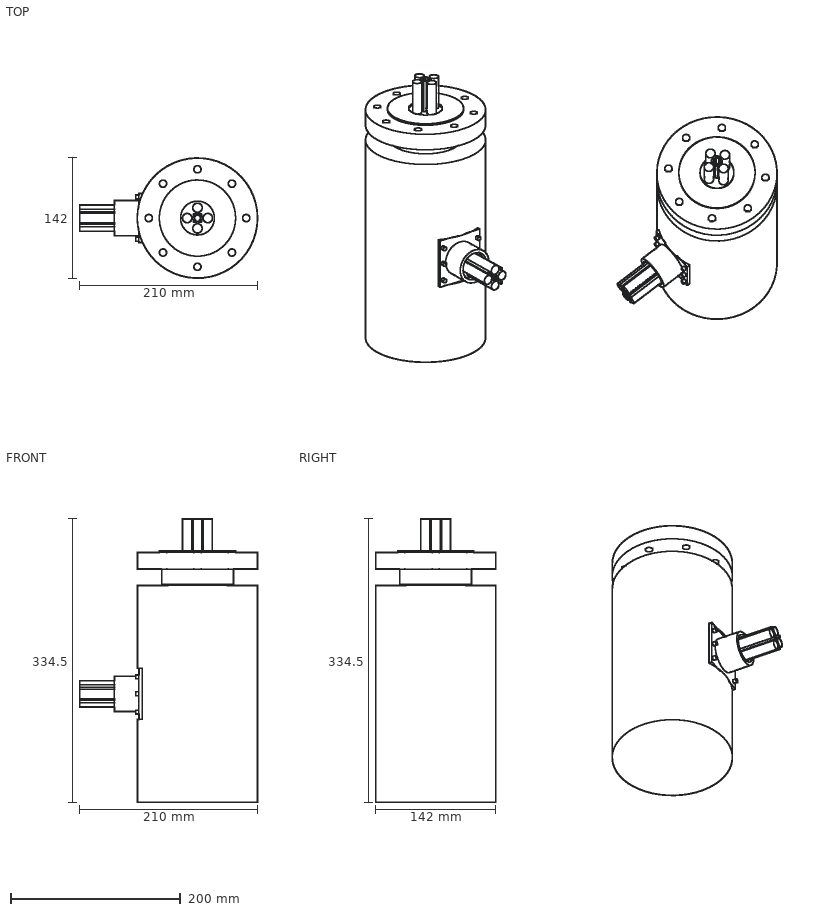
import cadquery as cq

BODY_RADIUS = 71.0
BODY_HEIGHT = 256.0
RELIEF_RADIUS = 35.0
RELIEF_HEIGHT = 1.0
NECK_RADIUS = 42.5
FLANGE_BOTTOM = 275.0
FLANGE_TOP = 295.0
DISC_RADIUS = 45.0
DISC_THICKNESS = 2.0
CABLE_TOP = 334.5
RECESS_RADIUS = 20.0

FLANGE_HOLE_COUNT = 8
FLANGE_HOLE_DIAMETER = 8.5
FLANGE_HOLE_CIRCLE_RADIUS = 57.5

CONNECTOR_Z = 128.0
CABLE_END_X = -139.0
SLEEVE_END_X = -98.0
SLEEVE_RADIUS = 21.0
SLEEVE_BORE_RADIUS = 17.0
SLEEVE_BORE_DEPTH = 8.0
PLATE_FACE_X = -69.0
PLATE_THICKNESS = 4.0
PLATE_WIDTH = 58.0
PLATE_HEIGHT = 60.0
PLATE_SEAT_X = PLATE_FACE_X + PLATE_THICKNESS

SCREW_DIAMETER = 4.8
SCREW_HEAD_HEIGHT = 4.0
SCREW_Y = 25.0
SCREW_ROWS = (20.0, 0.0, -21.5)

POWER_CABLE_COUNT = 4
CABLE_DIAMETER = 11.0
TOP_CABLE_CIRCLE_RADIUS = 12.2
TOP_WIRE_COUNT = 8
TOP_WIRE_CIRCLE_RADIUS = 5.0
TOP_WIRE_DIAMETER = 3.0
SIDE_CABLE_CIRCLE_RADIUS = 10.2
SIDE_WIRE_COUNT = 5
SIDE_WIRE_CIRCLE_RADIUS = 3.0
SIDE_WIRE_DIAMETER = 3.0
PIN_DIAMETER = 3.0
PIN_OFFSET = 9.0

FULL_TURN = 360.0


def upright_cylinder(radius, bottom, top):
    """Solid cylinder on the main axis between two heights."""
    return cq.Workplane("XY").workplane(offset=bottom).circle(radius).extrude(top - bottom)


def side_plane(x):
    """Workplane facing -X on the connector axis; its local x is -Y and its local y is Z."""
    return cq.Workplane(cq.Plane(origin=(x, 0, CONNECTOR_Z), xDir=(0, -1, 0), normal=(-1, 0, 0)))


def rod_ring(plane, count, circle_radius, diameter, length):
    """Parallel rods evenly spaced on a circle about the plane's origin."""
    return plane.polarArray(circle_radius, 0, FULL_TURN, count).circle(diameter / 2).extrude(length)


def make_housing():
    """Body, relief groove, neck, drilled flange and the raised disc with its shallow recess."""
    neck_bottom = BODY_HEIGHT + RELIEF_HEIGHT
    disc_top = FLANGE_TOP + DISC_THICKNESS
    housing = upright_cylinder(BODY_RADIUS, 0, BODY_HEIGHT)
    housing = housing.union(upright_cylinder(RELIEF_RADIUS, BODY_HEIGHT, neck_bottom))
    housing = housing.union(upright_cylinder(NECK_RADIUS, neck_bottom, FLANGE_BOTTOM))
    housing = housing.union(upright_cylinder(BODY_RADIUS, FLANGE_BOTTOM, FLANGE_TOP))
    housing = housing.union(upright_cylinder(DISC_RADIUS, FLANGE_TOP, disc_top))
    recess = upright_cylinder(RECESS_RADIUS, FLANGE_TOP, disc_top)
    holes = rod_ring(
        cq.Workplane("XY").workplane(offset=FLANGE_BOTTOM),
        FLANGE_HOLE_COUNT,
        FLANGE_HOLE_CIRCLE_RADIUS,
        FLANGE_HOLE_DIAMETER,
        FLANGE_TOP - FLANGE_BOTTOM,
    )
    return housing.cut(recess).cut(holes)


def add_top_cables(part):
    """Cables and thin wires rising from the recess floor."""
    floor = cq.Workplane("XY").workplane(offset=FLANGE_TOP)
    length = CABLE_TOP - FLANGE_TOP
    part = part.union(rod_ring(floor, POWER_CABLE_COUNT, TOP_CABLE_CIRCLE_RADIUS, CABLE_DIAMETER, length))
    return part.union(rod_ring(floor, TOP_WIRE_COUNT, TOP_WIRE_CIRCLE_RADIUS, TOP_WIRE_DIAMETER, length))


def add_mounting_plate(part):
    """Flat seat milled across the body, with the plate and its screw heads on it."""
    seat_depth = BODY_RADIUS + PLATE_SEAT_X
    seat = side_plane(PLATE_SEAT_X).rect(2 * BODY_RADIUS, PLATE_HEIGHT).extrude(seat_depth)
    plate = side_plane(PLATE_SEAT_X).rect(PLATE_WIDTH, PLATE_HEIGHT).extrude(PLATE_THICKNESS)
    screw_points = [(y, z) for y in (-SCREW_Y, SCREW_Y) for z in SCREW_ROWS]
    screws = side_plane(PLATE_FACE_X).pushPoints(screw_points)
    screws = screws.circle(SCREW_DIAMETER / 2).extrude(SCREW_HEAD_HEIGHT)
    return part.cut(seat).union(plate).union(screws)


def add_side_connector(part):
    """Sleeve with a blind bore, and the cables, wires and pins standing on the bore floor."""
    sleeve = side_plane(PLATE_FACE_X).circle(SLEEVE_RADIUS).extrude(PLATE_FACE_X - SLEEVE_END_X)
    bore_floor_x = SLEEVE_END_X + SLEEVE_BORE_DEPTH
    bore = side_plane(bore_floor_x).circle(SLEEVE_BORE_RADIUS).extrude(SLEEVE_BORE_DEPTH)
    part = part.union(sleeve).cut(bore)

    floor = side_plane(bore_floor_x)
    length = bore_floor_x - CABLE_END_X
    cables = rod_ring(floor, POWER_CABLE_COUNT, SIDE_CABLE_CIRCLE_RADIUS, CABLE_DIAMETER, length)
    wires = rod_ring(floor, SIDE_WIRE_COUNT, SIDE_WIRE_CIRCLE_RADIUS, SIDE_WIRE_DIAMETER, length)
    pin_points = [(-PIN_OFFSET, PIN_OFFSET), (PIN_OFFSET, PIN_OFFSET), (PIN_OFFSET, -PIN_OFFSET)]
    pins = floor.pushPoints(pin_points).circle(PIN_DIAMETER / 2).extrude(length)
    return part.union(cables).union(wires).union(pins)


result = make_housing()
result = add_top_cables(result)
result = add_mounting_plate(result)
result = add_side_connector(result)